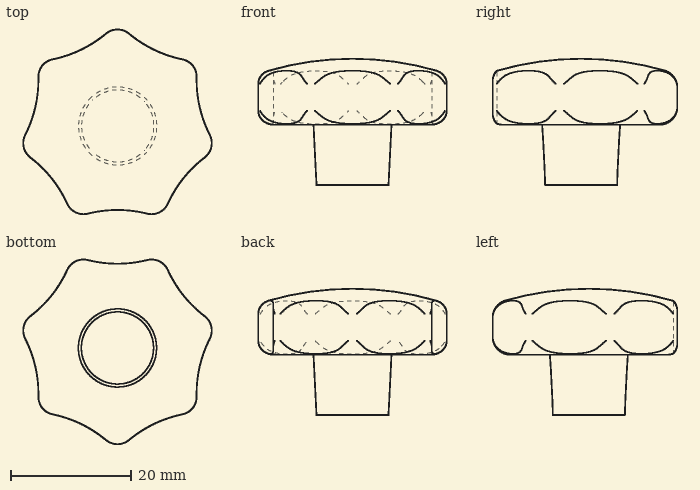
import cadquery as cq
import math


stem_height = 10.0
stem_end_diameter = 12.0
stem_root_diameter = 13.0

total_height = 21.0
head_radius = 16.0
dome_radius = 50.0
rim_radius = 3.0

lobe_count = 7
lobe_radius = 3.0
scallop_radius = 20.0
first_lobe_angle = 90.0


def polar(radius, degrees):
    """Point in the XY plane at the given distance and direction from the axis."""
    angle = math.radians(degrees)
    return (radius * math.cos(angle), radius * math.sin(angle))


def make_stem():
    """Cone that widens from the free end up to the head."""
    return (
        cq.Workplane("XY")
        .circle(stem_end_diameter / 2)
        .workplane(offset=stem_height)
        .circle(stem_root_diameter / 2)
        .loft(combine=True)
    )


def make_head_blank():
    """Turned disc with a spherical top and rounded rims, both tangent to their neighbours."""
    rim_center_r = head_radius - rim_radius
    lower_rim_z = stem_height + rim_radius
    dome_center_z = total_height - dome_radius
    upper_rim_z = dome_center_z + math.sqrt((dome_radius - rim_radius) ** 2 - rim_center_r**2)

    dome_edge_angle = math.asin(rim_center_r / (dome_radius - rim_radius))

    def dome_point(angle):
        return (dome_radius * math.sin(angle), dome_center_z + dome_radius * math.cos(angle))

    upper_mid_angle = (dome_edge_angle + math.pi / 2) / 2
    upper_rim_mid = (
        rim_center_r + rim_radius * math.sin(upper_mid_angle),
        upper_rim_z + rim_radius * math.cos(upper_mid_angle),
    )
    diagonal = rim_radius * math.sqrt(0.5)
    lower_rim_mid = (rim_center_r + diagonal, lower_rim_z - diagonal)

    return (
        cq.Workplane("XZ")
        .moveTo(0, stem_height)
        .lineTo(rim_center_r, stem_height)
        .threePointArc(lower_rim_mid, (head_radius, lower_rim_z))
        .lineTo(head_radius, upper_rim_z)
        .threePointArc(upper_rim_mid, dome_point(dome_edge_angle))
        .threePointArc(dome_point(dome_edge_angle / 2), (0, total_height))
        .close()
        .revolve(360, (0, 0, 0), (0, 1, 0))
    )


def make_lobe_prism():
    """Prism with round lobes joined by tangent concave scallops, as tall as the head."""
    pitch = 360 / lobe_count
    half_pitch = pitch / 2
    lobe_center_r = head_radius - lobe_radius

    center_distance = scallop_radius + lobe_radius
    lobe_reach, half_spacing = polar(lobe_center_r, half_pitch)
    scallop_center_r = lobe_reach + math.sqrt(center_distance**2 - half_spacing**2)
    scallop_bottom_r = scallop_center_r - scallop_radius

    share = lobe_radius / center_distance
    tangent_along = lobe_reach + share * (scallop_center_r - lobe_reach)
    tangent_across = half_spacing * (1 - share)
    tangent_r = math.hypot(tangent_along, tangent_across)
    tangent_offset = half_pitch - math.degrees(math.atan2(tangent_across, tangent_along))

    outline = cq.Workplane("XY", origin=(0, 0, stem_height))
    outline = outline.moveTo(*polar(tangent_r, first_lobe_angle - tangent_offset))
    for index in range(lobe_count):
        lobe_angle = first_lobe_angle + index * pitch
        scallop_angle = lobe_angle + half_pitch
        next_lobe_angle = lobe_angle + pitch
        lobe_end = polar(tangent_r, lobe_angle + tangent_offset)
        scallop_end = polar(tangent_r, next_lobe_angle - tangent_offset)
        outline = outline.threePointArc(polar(head_radius, lobe_angle), lobe_end)
        outline = outline.threePointArc(polar(scallop_bottom_r, scallop_angle), scallop_end)
    return outline.close().extrude(total_height - stem_height)


head = make_head_blank().intersect(make_lobe_prism())
result = head.union(make_stem())